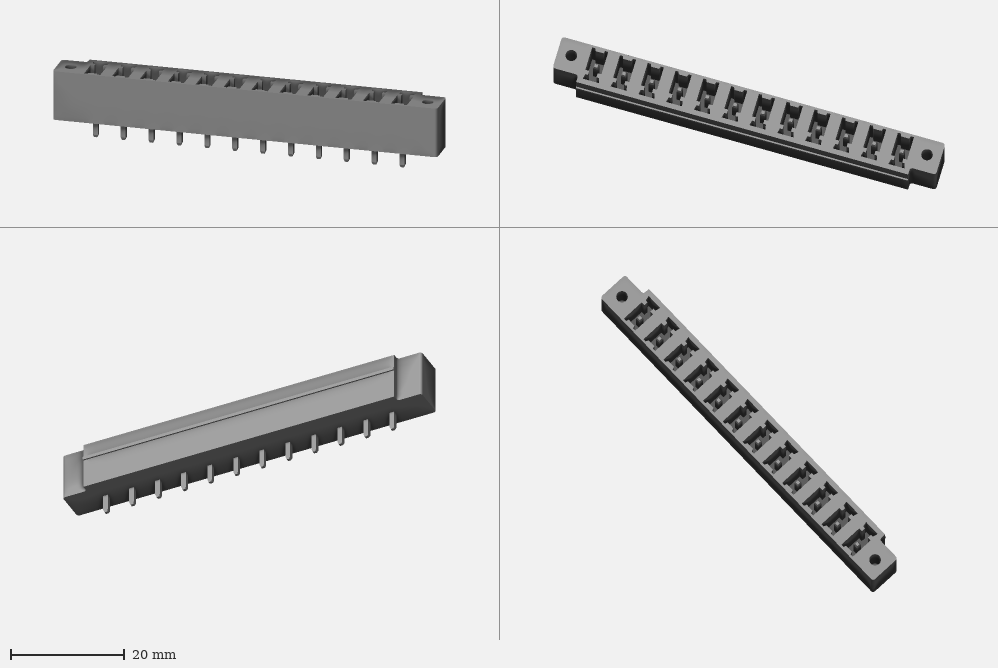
import cadquery as cq

PIN_COUNT = 12
PIN_PITCH = 5.08
PIN_SIZE = 0.9
PIN_TAIL = 3.5
PIN_TIP_HEIGHT = 0.5
PIN_TIP_SIZE = 0.55
PIN_TOP_DROP = 2.0

LENGTH = 70.1
HEIGHT = 9.1
FRONT_Y = -2.9
FLANGE_DEPTH = 5.95
BODY_DEPTH = 7.3
BODY_LENGTH = 60.7
CORNER_RADIUS = 0.5

RIDGE_HEIGHT = 0.6
RIDGE_Z = 5.75
RIDGE_DEPTH = 0.3

POCKET_WIDTH = 2.95
POCKET_FLOOR = 1.9
POCKET_FRONT_Y = FRONT_Y + 0.4
POCKET_BACK_Y = FRONT_Y + 6.4
NECK_WIDTH = 1.55
NECK_FRONT_Y = FRONT_Y + 4.7
NECK_BACK_Y = FRONT_Y + 5.5
HEAD_INNER_WIDTH = 2.5
KEY_WIDTH = 1.8
KEY_TIP_WIDTH = 1.5
KEY_HEIGHT = 0.5

SCREW_DIAMETER = 2.0
SCREW_DEPTH = 7.0
SCREW_X = 32.5

FLANGE_BACK_Y = FRONT_Y + FLANGE_DEPTH
BODY_BACK_Y = FRONT_Y + BODY_DEPTH
PIN_XS = [(i - (PIN_COUNT - 1) / 2) * PIN_PITCH for i in range(PIN_COUNT)]


def block(x_size, y_min, y_max, z_min, z_max):
    """Box centred on X = 0 between the given Y and Z limits."""
    return (
        cq.Workplane("XY")
        .box(x_size, y_max - y_min, z_max - z_min, centered=(True, False, False))
        .translate((0, y_min, z_min))
    )


def make_housing():
    """Flanged bar with a deeper middle, rounded flange ends and a back ridge."""
    flange = block(LENGTH, FRONT_Y, FLANGE_BACK_Y, 0, HEIGHT)
    flange = flange.edges("|Z").fillet(CORNER_RADIUS)
    body = block(BODY_LENGTH, FRONT_Y, BODY_BACK_Y, 0, HEIGHT)
    step_corners = cq.selectors.BoxSelector(
        (-BODY_LENGTH / 2 - CORNER_RADIUS, FLANGE_BACK_Y - CORNER_RADIUS / 2, 0),
        (BODY_LENGTH / 2 + CORNER_RADIUS, FLANGE_BACK_Y + CORNER_RADIUS / 2, HEIGHT),
    )
    housing = flange.union(body).edges("|Z").edges(step_corners).fillet(CORNER_RADIUS)
    ridge = block(BODY_LENGTH, BODY_BACK_Y, BODY_BACK_Y + RIDGE_DEPTH, RIDGE_Z, RIDGE_Z + RIDGE_HEIGHT)
    return housing.union(ridge)


def make_pocket(x):
    """Keyed contact pocket: main chamber, narrow neck and dovetailed back slot."""
    right_side = [
        (KEY_TIP_WIDTH / 2, POCKET_FRONT_Y + KEY_HEIGHT),
        (KEY_WIDTH / 2, POCKET_FRONT_Y),
        (POCKET_WIDTH / 2, POCKET_FRONT_Y),
        (POCKET_WIDTH / 2, NECK_FRONT_Y),
        (NECK_WIDTH / 2, NECK_FRONT_Y),
        (NECK_WIDTH / 2, NECK_BACK_Y),
        (HEAD_INNER_WIDTH / 2, NECK_BACK_Y),
        (POCKET_WIDTH / 2, POCKET_BACK_Y),
    ]
    left_side = [(-px, py) for px, py in reversed(right_side)]
    outline = cq.Workplane("XY").polyline(right_side + left_side).close()
    return outline.extrude(HEIGHT - POCKET_FLOOR).translate((x, 0, POCKET_FLOOR))


def make_pin(x):
    """Square pin with a tapered tip at both ends."""
    shaft_bottom = PIN_TIP_HEIGHT - PIN_TAIL
    shaft_top = HEIGHT - PIN_TOP_DROP - PIN_TIP_HEIGHT
    pin = block(PIN_SIZE, -PIN_SIZE / 2, PIN_SIZE / 2, shaft_bottom, shaft_top)
    for face in (">Z", "<Z"):
        pin = (
            pin.faces(face)
            .workplane()
            .rect(PIN_SIZE, PIN_SIZE)
            .workplane(offset=PIN_TIP_HEIGHT)
            .rect(PIN_TIP_SIZE, PIN_TIP_SIZE)
            .loft()
        )
    return pin.translate((x, 0, 0))


result = make_housing()
for pin_x in PIN_XS:
    result = result.cut(make_pocket(pin_x)).union(make_pin(pin_x))

screw_holes = (
    cq.Workplane("XY", origin=(0, 0, HEIGHT))
    .pushPoints([(-SCREW_X, 0), (SCREW_X, 0)])
    .circle(SCREW_DIAMETER / 2)
    .extrude(-SCREW_DEPTH)
)
result = result.cut(screw_holes)